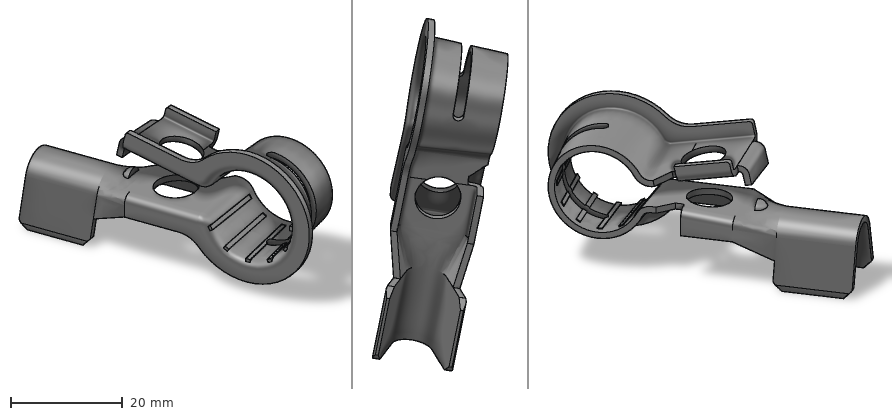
import cadquery as cq
import math


sheet = 1.2
bend = 1.85
draft = math.radians(3.5)
ring_depth = 15.2
flange_radius = 13.0
flange_height = 2.4
bend_radius = flange_radius - flange_height
neck_outer_radius = 5.4
neck_inner_radius = 0.6

lower_distance = 4.3
upper_distance = 2.8
upper_slope = math.radians(12.4)
lower_length = 25.05
upper_length = 26.5
lip_end = 15.4
upper_lip_rear = 15.35
upper_lip_height = 0.9
end_corner = 0.6
end_skew = 0.6
hole_diameter = 8.2
hole_y = 7.5
lower_hole_along = 18.7
upper_hole_along = 18.4
notch_bottom = 12.25
notch_corner = 0.6
notch_flat = 1.15
notch_run = 0.95
cut_depth = 3.0

hook_front = 2.95
hook_rear = 12.25
hook_bend = 1.8
hook_reach = 28.5
hook_skew = 0.06
hook_tip = -2.5

crimp_start = -47.25
crimp_length = 14.7
crimp_y = 7.95
crimp_top = -2.4
crimp_bottom = -15.4
crimp_radius = 5.0
crimp_slope = math.radians(17)
crimp_split = math.radians(30)
tip_bevel_height = 1.25
tip_bevel = 0.7
crimp_corner_length = 1.6
crimp_corner_height = 1.8
transition_bottom = -10.05

bump_radius = 2.0
bump_x = -27.7
bump_z = -3.2
bump_base = -3.0

slot_front = 6.7
slot_width = 1.9
rib_count = 6
rib_pitch = 30
rib_width = 0.9
rib_height = 0.2
rib_front = 0.6
rib_rear = 13.55


class Arm:
    """Frame of one arm: 'along' points away from the ring, 'out' away from the clamp gap."""

    def __init__(self, slope, side, distance):
        self.along = (-math.cos(slope), side * math.sin(slope))
        self.out = (math.sin(slope), side * math.cos(slope))
        self.distance = distance

    def point(self, along, out):
        return tuple(along * a + out * o for a, o in zip(self.along, self.out))

    def section_plane(self, along):
        """Plane across the arm: local x points into the gap, local y is Y."""
        x, z = self.point(along, self.distance)
        gap = (-self.out[0], 0, -self.out[1])
        return cq.Plane(origin=(x, 0, z), xDir=gap, normal=(-gap[2], 0, gap[0]))

    def face_plane(self):
        """Plane along the flat flange edge: local x points along the arm, local y is Y."""
        x, z = self.point(0, self.distance)
        return cq.Plane(
            origin=(x, 0, z),
            xDir=(self.along[0], 0, self.along[1]),
            normal=(-self.along[1], 0, self.along[0]),
        )

    def neck(self, distance, fillet, radius):
        """Line end, arc middle and ring end of the fillet that joins an arm edge to the ring."""
        height = distance + fillet
        reach = math.sqrt((radius + fillet) ** 2 - height**2)
        centre = self.point(reach, height)
        shrink = radius / (radius + fillet)
        ring_end = self.point(reach * shrink, height * shrink)
        to_ring = math.atan2(-height, -reach)
        middle = (to_ring - math.pi / 2) / 2
        arc_middle = self.point(reach + fillet * math.cos(middle), height + fillet * math.sin(middle))
        return self.point(reach, distance), arc_middle, ring_end


lower = Arm(0, -1, lower_distance)
upper = Arm(upper_slope, 1, upper_distance)


def ring_outline(extra, fillet, lower_start, upper_start):
    """Open outline in XZ: lower arm edge, round the ring, upper arm edge."""
    radius = bend_radius + extra
    low_line, low_middle, low_ring = lower.neck(lower.distance + extra, fillet, radius)
    up_line, up_middle, up_ring = upper.neck(upper.distance + extra, fillet, radius)
    return (
        cq.Workplane("XZ")
        .moveTo(*lower.point(lower_start, lower.distance + extra))
        .lineTo(*low_line)
        .threePointArc(low_middle, low_ring)
        .threePointArc((radius, 0), up_ring)
        .threePointArc(up_middle, up_line)
        .lineTo(*upper.point(upper_start, upper.distance + extra))
    )


def web_height(y, slope=draft):
    """Height of the web face above the flat flange edge."""
    return bend + (y - bend) * math.tan(slope)


def on_circle(centre, radius, angle):
    return centre[0] + radius * math.cos(angle), centre[1] + radius * math.sin(angle)


def flange_plate():
    outline = (
        ring_outline(flange_height, neck_outer_radius, lower_length, upper_length)
        .lineTo(*upper.point(upper_length, upper_distance))
        .lineTo(*lower.point(lower_length, lower_distance))
        .close()
        .extrude(-sheet)
    )
    gap = ring_outline(0, neck_inner_radius, lower_length, upper_length).close().extrude(-sheet)
    return outline.cut(gap)


def ring_web():
    """Front bend and tapered web, swept round the ring between the rear lips."""
    centre = (0, bend)
    inner = bend - sheet
    slanted = ring_depth - bend
    rise = slanted * math.tan(draft)
    path = ring_outline(0, neck_inner_radius, lip_end, lip_end)
    return (
        cq.Workplane(lower.section_plane(lip_end))
        .moveTo(0, 0)
        .threePointArc(on_circle(centre, bend, -math.pi / 4), (bend, bend))
        .line(rise, slanted)
        .line(-sheet, 0)
        .line(-rise, -slanted)
        .threePointArc(on_circle(centre, inner, -math.pi / 4), (0, sheet))
        .close()
        .sweep(path)
    )


def arm_section(plane, slope, rear, lip_height):
    """Channel section of an arm: front flange, web and rear lip."""
    front_centre = (0, bend)
    rear_y = rear - bend
    rear_centre = (web_height(rear_y, slope) - bend / math.cos(slope), rear_y)
    inner = bend - sheet
    web_angle = -slope
    rear_middle = (web_angle + math.pi / 2) / 2
    return (
        cq.Workplane(plane)
        .moveTo(-flange_height, 0)
        .lineTo(0, 0)
        .threePointArc(on_circle(front_centre, bend, -math.pi / 4), (bend, bend))
        .lineTo(*on_circle(rear_centre, bend, web_angle))
        .threePointArc(on_circle(rear_centre, bend, rear_middle), (rear_centre[0], rear))
        .lineTo(-lip_height, rear)
        .lineTo(-lip_height, rear - sheet)
        .lineTo(rear_centre[0], rear - sheet)
        .threePointArc(
            on_circle(rear_centre, inner, rear_middle), on_circle(rear_centre, inner, web_angle)
        )
        .lineTo(inner, bend)
        .threePointArc(on_circle(front_centre, inner, -math.pi / 4), (0, sheet))
        .lineTo(-flange_height, sheet)
        .close()
        .wire()
        .val()
    )


def ruled(first, last):
    return cq.Workplane(cq.Solid.makeLoft([first, last], True))


def lower_end_section():
    return arm_section(lower.section_plane(lower_length), 0, ring_depth, flange_height)


def lower_arm():
    ring_end = arm_section(lower.section_plane(lip_end), draft, ring_depth, flange_height)
    return ruled(lower_end_section(), ring_end)


def upper_arm():
    plane = upper.section_plane(lip_end)
    section = arm_section(plane, draft, upper_lip_rear, upper_lip_height)
    run = (upper_length - lip_end) * cq.Vector(upper.along[0], 0, upper.along[1])
    body = cq.Workplane(cq.Solid.extrudeLinear(section, [], run))
    skew = (
        cq.Workplane(upper.face_plane())
        .moveTo(upper_length, bend)
        .lineTo(upper_length, upper_lip_rear)
        .line(-end_skew, 0)
        .close()
        .extrude(cut_depth, both=True)
    )
    return body.cut(skew)


def crimp_section(x, bottom):
    """Arched section whose two straight legs spread downwards to the given height."""
    centre = (crimp_y, crimp_top - crimp_radius)
    inner = crimp_radius - sheet

    def leg_end(radius, side):
        y, z = on_circle((0, centre[1]), radius, crimp_slope)
        return crimp_y + side * (y + (z - bottom) * math.tan(crimp_slope)), bottom

    stops = (math.pi - crimp_slope, math.pi - crimp_split, crimp_split, crimp_slope)

    def arch(section, radius, angles):
        section = section.lineTo(*on_circle(centre, radius, angles[0]))
        for start, end in zip(angles, angles[1:]):
            section = section.threePointArc(
                on_circle(centre, radius, (start + end) / 2), on_circle(centre, radius, end)
            )
        return section

    section = cq.Workplane("YZ", origin=(x, 0, 0)).moveTo(*leg_end(crimp_radius, -1))
    section = arch(section, crimp_radius, stops).lineTo(*leg_end(crimp_radius, 1))
    section = section.lineTo(*leg_end(inner, 1))
    section = arch(section, inner, stops[::-1]).lineTo(*leg_end(inner, -1))
    return section.close().wire()


def crimp():
    body = crimp_section(crimp_start, crimp_bottom).toPending().extrude(crimp_length)
    arch_z = crimp_top - crimp_radius + crimp_radius * math.sin(crimp_slope)
    arch_half = crimp_radius * math.cos(crimp_slope)
    bevel_top = crimp_bottom + tip_bevel_height
    tip_half = arch_half + (arch_z - crimp_bottom) * math.tan(crimp_slope)
    bevel_half = tip_half - tip_bevel_height * math.tan(crimp_slope)
    for side in (-1, 1):
        bevel = (
            cq.Workplane("YZ", origin=(crimp_start, 0, 0))
            .moveTo(crimp_y + side * bevel_half, bevel_top)
            .lineTo(crimp_y + side * (tip_half - tip_bevel), crimp_bottom)
            .lineTo(crimp_y + side * (tip_half + tip_bevel), crimp_bottom)
            .close()
            .extrude(crimp_length)
        )
        body = body.cut(bevel)
    crimp_end = crimp_start + crimp_length
    for x, inward in ((crimp_start, 1), (crimp_end, -1)):
        corner = (
            cq.Workplane("XZ")
            .moveTo(x, crimp_bottom)
            .line(inward * crimp_corner_length, 0)
            .lineTo(x, crimp_bottom + crimp_corner_height)
            .close()
            .extrude(-2 * ring_depth, both=True)
        )
        body = body.cut(corner)
    return body


def transition():
    """Twisted stretch from the crimp arch to the channel of the lower arm."""
    arch = crimp_section(crimp_start + crimp_length, transition_bottom).val()
    return ruled(arch, lower_end_section())


def bump():
    ball = cq.Workplane("XY").sphere(bump_radius).translate((bump_x, crimp_y, bump_z))
    size = 2 * bump_radius
    keep = (
        cq.Workplane("XY")
        .box(size, size, size, centered=(False, True, False))
        .translate((bump_x - size, crimp_y, bump_base))
    )
    return ball.intersect(keep)


def hook_section(y):
    """Quarter bend and tongue at the end of the upper arm, at one depth."""
    inner_face = upper_distance - web_height(y)
    outer_face = inner_face + sheet
    reach = hook_reach - hook_skew * (y - hook_front)
    centre = (reach - hook_bend, outer_face - hook_bend)
    inner = hook_bend - sheet
    diagonal = math.pi / 4
    root = upper_length - sheet
    points = {
        "root_outer": (root, outer_face),
        "bend_outer": (centre[0], outer_face),
        "arc_outer": on_circle(centre, hook_bend, diagonal),
        "leg_outer": (reach, centre[1]),
        "tip_outer": (reach, hook_tip),
        "tip_inner": (reach - sheet, hook_tip),
        "leg_inner": (reach - sheet, centre[1]),
        "arc_inner": on_circle(centre, inner, diagonal),
        "bend_inner": (centre[0], inner_face),
        "root_inner": (root, inner_face),
    }
    at = {name: upper.point(*place) for name, place in points.items()}
    return (
        cq.Workplane("XZ", origin=(0, y, 0))
        .moveTo(*at["root_outer"])
        .lineTo(*at["bend_outer"])
        .threePointArc(at["arc_outer"], at["leg_outer"])
        .lineTo(*at["tip_outer"])
        .lineTo(*at["tip_inner"])
        .lineTo(*at["leg_inner"])
        .threePointArc(at["arc_inner"], at["bend_inner"])
        .lineTo(*at["root_inner"])
        .close()
        .wire()
        .val()
    )


def hook():
    return ruled(hook_section(hook_front), hook_section(hook_rear))


def arm_cutouts(arm, hole_along):
    """Round hole and rear notch of one arm, cut square to the arm."""
    hole = (
        cq.Workplane(arm.face_plane())
        .center(hole_along, hole_y)
        .circle(hole_diameter / 2)
        .extrude(cut_depth, both=True)
    )
    above = upper_lip_rear - notch_bottom
    notch = (
        cq.Workplane(arm.face_plane())
        .moveTo(lip_end, upper_lip_rear)
        .lineTo(lip_end, notch_bottom + notch_corner)
        .radiusArc((lip_end - notch_corner, notch_bottom), notch_corner)
        .line(-notch_flat, 0)
        .line(-above * notch_run, above)
        .close()
        .extrude(cut_depth, both=True)
    )
    return hole.union(notch)


def ring_slot():
    """Slot with a rounded end through the ring side away from the arms."""
    radius = slot_width / 2
    return (
        cq.Workplane("XY")
        .moveTo(flange_radius, slot_front)
        .lineTo(radius, slot_front)
        .threePointArc((0, slot_front + radius), (radius, slot_front + slot_width))
        .lineTo(flange_radius, slot_front + slot_width)
        .close()
        .extrude(flange_radius, both=True)
    )


def rib():
    """Low rib on the inside of the ring at +X, following the taper of the web."""

    def surface(y):
        return bend_radius - web_height(y)

    return (
        cq.Workplane("XY")
        .moveTo(surface(rib_front) - rib_height, rib_front)
        .lineTo(surface(rib_rear) - rib_height, rib_rear)
        .lineTo(surface(rib_rear) + sheet / 2, rib_rear)
        .lineTo(surface(rib_front) + sheet / 2, rib_front)
        .close()
        .extrude(rib_width / 2, both=True)
    )


def upper_end_corner(along, y, height):
    """Pick the edge nearest a place on the upper arm, at a height above the flat flange edge."""
    x, z = upper.point(along, upper_distance + height)
    return cq.selectors.NearestToPointSelector((x, y, z))


result = flange_plate()
for piece in (ring_web(), lower_arm(), upper_arm(), transition(), crimp(), bump(), hook()):
    result = result.union(piece)
for step in range(rib_count):
    result = result.union(rib().rotate((0, 0, 0), (0, 1, 0), step * rib_pitch))
result = result.cut(arm_cutouts(lower, lower_hole_along))
result = result.cut(arm_cutouts(upper, upper_hole_along))
result = result.cut(ring_slot())
result = result.edges(upper_end_corner(upper_length, sheet / 2, flange_height)).fillet(end_corner)
lip_corner = upper_end_corner(upper_length - end_skew, upper_lip_rear - sheet / 2, upper_lip_height)
result = result.edges(lip_corner).fillet(end_corner)